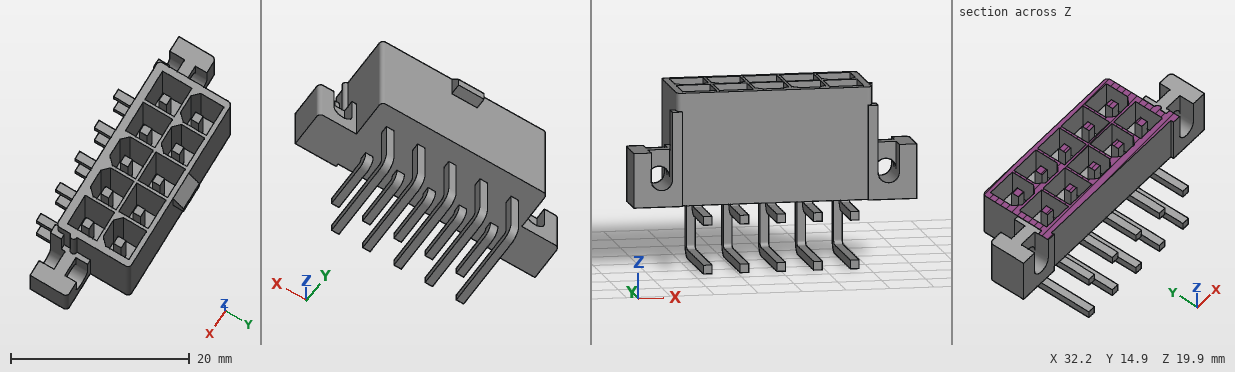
import cadquery as cq


body_length = 22.22
body_depth = 9.6
body_height = 12.8
corner_radius = 0.5
body_back = body_depth / 2
body_front = -body_depth / 2

columns = 5
pitch = 4.2
cavity_size = 3.83
cavity_chamfer = 0.8
cavity_floor = 2.8
back_wall = 0.58
back_cavity_y = body_back - back_wall - cavity_size / 2
column_xs = [(i - (columns - 1) / 2) * pitch for i in range(columns)]
keyed_back_columns = (0, 1, 4)
keyed_front_columns = (2, 3)

pin_width = 1.0
pin_tip_z = 9.6
pin_reach = 3.93
pin_end_y = body_front - pin_reach
back_pin_y = body_back - 2.93
back_pin_drop = 7.1
back_pin_inner_radius = 0.48
front_pin_drop = 1.55
front_pin_inner_radius = 0.3

total_length = 32.2
ear_height = 6.2
ear_depth = 4.85
ear_overhang = 0.4
ear_front = body_front - ear_overhang
ear_back = ear_front + ear_depth
ear_outer_x = total_length / 2
ear_inner_x = body_length / 2 - corner_radius
ear_corner_radius = 0.5
hole_diameter = 2.4
hole_x = 12.9
hole_z = ear_height / 2
front_slot_depth = 1.93
back_slot_depth = 1.5

post_height = 10.75
post_depth = 1.45
post_outer_x = hole_x - hole_diameter / 2

latch_width = 3.4
latch_reach = 1.4
latch_ramp_height = 1.85
latch_height = 3.03

rib_radius = 0.42
rib_y = body_front + 2.32


def box(x0, x1, y0, y1, z0, z1):
    """Box between two opposite corners."""
    return cq.Workplane("XY").box(x1 - x0, y1 - y0, z1 - z0, centered=False).translate((x0, y0, z0))


def make_body():
    return (
        cq.Workplane("XY")
        .rect(body_length, body_depth)
        .extrude(body_height)
        .edges("|Z")
        .fillet(corner_radius)
    )


def make_cavity(x, y, keyed):
    cavity = (
        cq.Workplane("XY", origin=(x, y, cavity_floor))
        .rect(cavity_size, cavity_size)
        .extrude(body_height - cavity_floor)
    )
    if keyed:
        cavity = cavity.faces("<Y").edges("|Z").chamfer(cavity_chamfer)
    return cavity


def make_pin(x, y, drop, inner_radius):
    """Square pin that comes down from its cavity and bends forward to -Y."""
    half = pin_width / 2
    outer_radius = inner_radius + pin_width
    bend_y = y - half - inner_radius
    bend_z = -drop + outer_radius
    return (
        cq.Workplane("YZ", origin=(x - half, 0, 0))
        .moveTo(y + half, pin_tip_z)
        .lineTo(y + half, bend_z)
        .radiusArc((bend_y, -drop), outer_radius)
        .lineTo(pin_end_y, -drop)
        .lineTo(pin_end_y, -drop + pin_width)
        .lineTo(bend_y, -drop + pin_width)
        .radiusArc((y - half, bend_z), -inner_radius)
        .lineTo(y - half, pin_tip_z)
        .close()
        .extrude(pin_width)
    )


def make_hole(y0, y1):
    """Round bore through the ear between two Y positions."""
    return (
        cq.Workplane("XZ", origin=(hole_x, y1, hole_z))
        .circle(hole_diameter / 2)
        .extrude(y1 - y0)
    )


def make_slot(y0, y1):
    """Round-bottomed slot open at the top of the ear."""
    half = hole_diameter / 2
    open_top = box(hole_x - half, hole_x + half, y0, y1, hole_z, ear_height)
    return make_hole(y0, y1).union(open_top)


def make_ear():
    """Ear of the +X end: slotted front and back, with a drilled web between."""
    ear = box(ear_inner_x, ear_outer_x, ear_front, ear_back, 0, ear_height)
    ear = ear.edges("|Z and >X and >Y").fillet(ear_corner_radius)
    post = box(ear_inner_x, post_outer_x, ear_front, ear_front + post_depth, 0, post_height)
    return (
        ear.cut(make_slot(ear_front, ear_front + front_slot_depth))
        .cut(make_slot(ear_back - back_slot_depth, ear_back))
        .cut(make_hole(ear_front, ear_back))
        .union(post)
    )


def make_latch():
    return (
        cq.Workplane("YZ", origin=(-latch_width / 2, 0, 0))
        .moveTo(body_back, body_height)
        .lineTo(body_back + latch_reach, body_height - latch_ramp_height)
        .lineTo(body_back + latch_reach, body_height - latch_height)
        .lineTo(body_back, body_height - latch_height)
        .close()
        .extrude(latch_width)
    )


def make_rib():
    face_x = body_length / 2
    return (
        cq.Workplane("XY")
        .moveTo(face_x, rib_y - rib_radius)
        .threePointArc((face_x + rib_radius, rib_y), (face_x, rib_y + rib_radius))
        .close()
        .extrude(body_height)
    )


right_ear = make_ear()
result = (
    make_body()
    .union(make_rib())
    .union(make_latch())
    .union(right_ear)
    .union(right_ear.mirror("YZ"))
)

for column, column_x in enumerate(column_xs):
    result = result.cut(make_cavity(column_x, back_cavity_y, column in keyed_back_columns))
    result = result.cut(make_cavity(column_x, back_cavity_y - pitch, column in keyed_front_columns))

for column_x in column_xs:
    result = result.union(make_pin(column_x, back_pin_y, back_pin_drop, back_pin_inner_radius))
    result = result.union(make_pin(column_x, back_pin_y - pitch, front_pin_drop, front_pin_inner_radius))